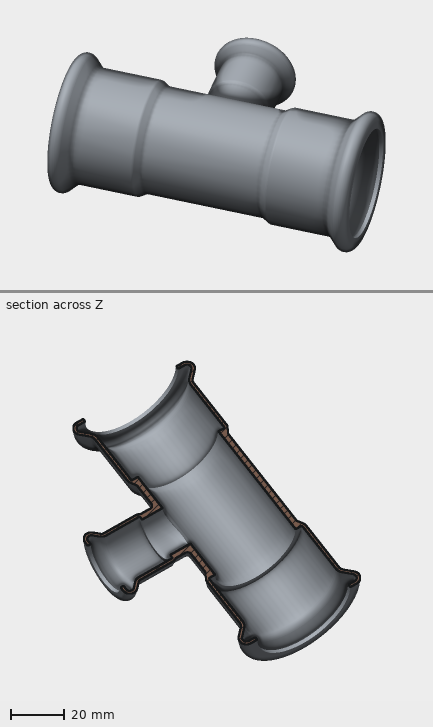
import cadquery as cq
import math

RUN_LENGTH = 118.0
BRANCH_REACH = 51.0
STEP_ANGLE = math.radians(30)
STEP_ROUND = 1.8
JUNCTION_FILLET = 1.4
SEAM_MARGIN = 0.6
FLANK_ANGLE = math.radians(45)

RUN_SOCKET_RADIUS = 45.0 / 2
RUN_TUBE_RADIUS = 41.4 / 2
RUN_SOCKET_BORE_RADIUS = 42.0 / 2
RUN_TUBE_BORE_RADIUS = 36.3 / 2
SHEET = RUN_SOCKET_RADIUS - RUN_SOCKET_BORE_RADIUS
TUBE_WALL = RUN_TUBE_RADIUS - RUN_TUBE_BORE_RADIUS

BRANCH_TUBE_RADIUS = 23.8 / 2
RUN_SOCKET = {
    "socket_radius": RUN_SOCKET_RADIUS,
    "tube_radius": RUN_TUBE_RADIUS,
    "bead_radius": 27.0,
    "bead_round": 3.1,
    "neck_round": 2.4,
    "socket_depth": 32.8,
    "length": RUN_LENGTH / 2,
}
BRANCH_SOCKET = {
    "socket_radius": 25.0 / 2,
    "tube_radius": BRANCH_TUBE_RADIUS,
    "bead_radius": 15.9,
    "bead_round": 3.0,
    "neck_round": 1.4,
    "socket_depth": 23.5,
    "length": BRANCH_REACH,
}


def polar(center, radius, angle):
    """Point on a circle; the angle runs from the outward radial direction towards the tube."""
    return (center[0] + radius * math.sin(angle), center[1] + radius * math.cos(angle))


def bead_and_neck(wire, bead_center, bead_round, neck_center, neck_round):
    """Add the bead arc, its sloping flank and the round into the socket wall."""
    return (
        wire.lineTo(bead_center[0] - bead_round, bead_center[1])
        .threePointArc(polar(bead_center, bead_round, 0), polar(bead_center, bead_round, FLANK_ANGLE))
        .lineTo(*polar(neck_center, -neck_round, FLANK_ANGLE))
        .threePointArc(polar(neck_center, -neck_round, FLANK_ANGLE / 2), polar(neck_center, -neck_round, 0))
    )


def bead_centers(bead_radius, bead_round, socket_radius, neck_round):
    """Centres of the bead and neck rounds, with the flank tangent to both."""
    bead = (bead_round, bead_radius - bead_round)
    neck_height = socket_radius + neck_round
    drop = bead[1] - neck_height
    reach = (bead_round + neck_round) / math.sin(FLANK_ANGLE) + drop / math.tan(FLANK_ANGLE)
    return bead, (bead[0] + reach, neck_height)


def outer_body(socket_radius, tube_radius, bead_radius, bead_round, neck_round, socket_depth, length):
    """Solid outside shape along +X with the mouth at the origin."""
    bead, neck = bead_centers(bead_radius, bead_round, socket_radius, neck_round)
    taper_end = socket_depth + (socket_radius - tube_radius) / math.tan(STEP_ANGLE)
    tangent = STEP_ROUND * math.tan(STEP_ANGLE / 2)
    shoulder = (socket_depth - tangent, socket_radius - STEP_ROUND)
    root = (taper_end + tangent, tube_radius + STEP_ROUND)
    wire = bead_and_neck(cq.Workplane("XY"), bead, bead_round, neck, neck_round)
    return (
        wire.lineTo(shoulder[0], socket_radius)
        .threePointArc(polar(shoulder, STEP_ROUND, STEP_ANGLE / 2), polar(shoulder, STEP_ROUND, STEP_ANGLE))
        .lineTo(*polar(root, -STEP_ROUND, STEP_ANGLE))
        .threePointArc(polar(root, -STEP_ROUND, STEP_ANGLE / 2), polar(root, -STEP_ROUND, 0))
        .lineTo(length, tube_radius)
        .lineTo(length, 0)
        .close()
        .revolve(360, (0, 0, 0), (1, 0, 0))
    )


def inner_cavity(socket_radius, tube_radius, bead_radius, bead_round, neck_round, socket_depth, length):
    """Mouth, seal groove inside the bead, socket bore and tube bore, one sheet inside the outer body."""
    bead, neck = bead_centers(bead_radius, bead_round, socket_radius, neck_round)
    bore_radius = socket_radius - SHEET
    tube_bore_radius = tube_radius - TUBE_WALL
    wire = cq.Workplane("XY").lineTo(0, bore_radius).lineTo(SHEET, bore_radius)
    return (
        bead_and_neck(wire, bead, bead_round - SHEET, neck, neck_round + SHEET)
        .lineTo(socket_depth, bore_radius)
        .lineTo(socket_depth, tube_bore_radius)
        .lineTo(length, tube_bore_radius)
        .lineTo(length, 0)
        .close()
        .revolve(360, (0, 0, 0), (1, 0, 0))
    )


def to_left_end(body):
    return body.translate((-RUN_LENGTH / 2, 0, 0))


def to_branch(body):
    return body.rotate((0, 0, 0), (0, 0, 1), -90).translate((0, BRANCH_REACH, 0))


def full_run(left_half):
    return left_half.union(left_half.mirror("YZ")).clean()


run_body = full_run(to_left_end(outer_body(**RUN_SOCKET)))
body = run_body.union(to_branch(outer_body(**BRANCH_SOCKET)))

seam_box = cq.selectors.BoxSelector(
    (-BRANCH_TUBE_RADIUS - SEAM_MARGIN, 0, -BRANCH_TUBE_RADIUS - SEAM_MARGIN),
    (BRANCH_TUBE_RADIUS + SEAM_MARGIN, RUN_TUBE_RADIUS + SEAM_MARGIN, BRANCH_TUBE_RADIUS + SEAM_MARGIN),
    boundingbox=True,
)
body = body.edges(seam_box).fillet(JUNCTION_FILLET)

run_cavity = full_run(to_left_end(inner_cavity(**RUN_SOCKET)))
branch_cavity = to_branch(inner_cavity(**BRANCH_SOCKET))
result = body.cut(run_cavity).cut(branch_cavity)